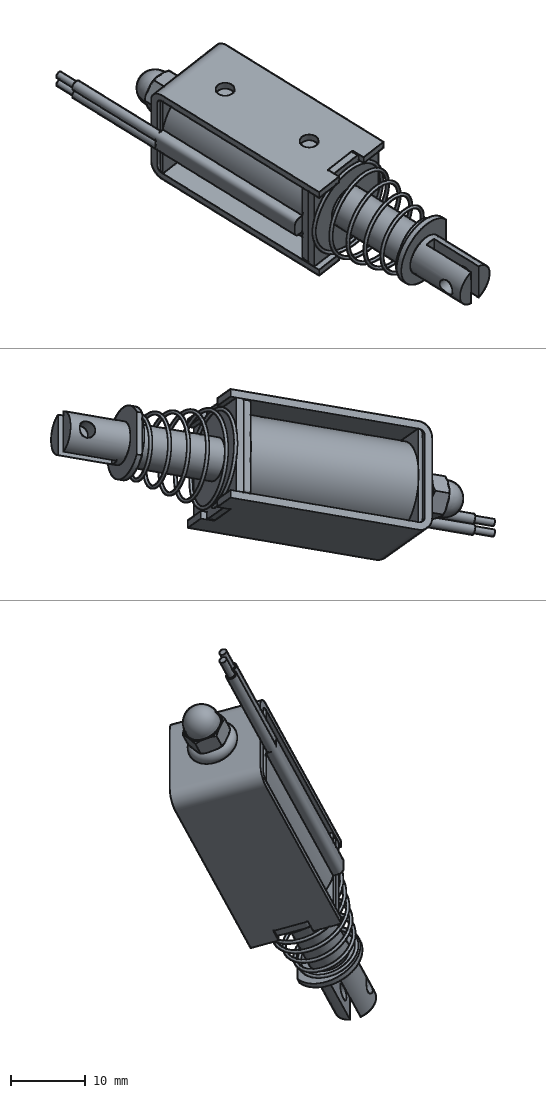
import cadquery as cq
import math


frame_length = 30.0
frame_width = 13.0
frame_height = 15.5
sheet = 1.1
bend_radius = 2.05
inner_bend_radius = 0.95
mount_hole_diameter = 2.5
mount_hole_places = (7.5, 22.5)

back_flange_thickness = 1.0
front_flange_thickness = 1.0
tube_diameter = 8.0
corner_radius = 0.4
lead_diameter = 1.5
core_diameter = 1.0
lead_tip_x = -15.8
insulation_end_x = -12.8

plate_thickness = 1.1
tab_width = 4.95
plate_front_x = 29.15

plunger_diameter = 6.0
plunger_end_x = 52.1
stud_diameter = 3.0
slot_width = 1.5
slot_start_x = 44.2
cross_hole_diameter = 2.3
cross_hole_x = 49.6
groove_diameter = 5.0
groove_width = 1.0
clip_diameter = 10.05
clip_offset = 0.5
clip_flat_y = 4.5
clip_thickness = 0.8
clip_x = 42.2

ring_cord_diameter = 2.0
ring_mean_diameter = 5.0
nut_flats = 5.3
nut_length = 2.45
nut_turn = 7.0
nut_chamfer_diameter = 5.5
nut_chamfer_length = 0.2
dome_diameter = 5.0
dome_neck = 0.6
stud_in_nut = 1.9

spring_wire = 0.5
spring_clearance = 0.015
spring_large_diameter = 14.05
spring_small_diameter = 8.7
closed_turns = 0.75
active_turns = 4.9
points_per_turn = 16

inner_height = frame_height - 2 * sheet
plate_back_x = plate_front_x - plate_thickness
winding_start_x = sheet + back_flange_thickness
winding_end_x = plate_back_x - front_flange_thickness
lead_y = -(frame_width + lead_diameter) / 2
nut_seat_x = -ring_cord_diameter
nut_front_x = nut_seat_x - nut_length
dome_center_x = nut_front_x - dome_neck
stud_tip_x = nut_seat_x - stud_in_nut


def box(x_start, x_end, width, height):
    """Box centred on the X axis, from x_start to x_end."""
    return cq.Workplane("XY").box(x_end - x_start, width, height).translate(((x_start + x_end) / 2, 0, 0))


def rod(x_start, x_end, diameter, y=0, z=0):
    """Cylinder along X, from x_start to x_end."""
    return cq.Workplane("YZ", origin=(x_start, y, z)).circle(diameter / 2).extrude(x_end - x_start)


def make_frame():
    """U-shaped bracket with two mounting holes and a notch for each end plate tab."""
    outer = box(0, frame_length, frame_width, frame_height)
    outer = outer.edges("|Y and <X").fillet(bend_radius)
    inside = box(sheet, frame_length, frame_width, inner_height)
    inside = inside.edges("|Y and <X").fillet(inner_bend_radius)
    tab_notches = box(plate_back_x, frame_length, tab_width, frame_height)
    mount_holes = (
        cq.Workplane("XY")
        .pushPoints([(x, 0) for x in mount_hole_places])
        .circle(mount_hole_diameter / 2)
        .extrude(frame_height)
    )
    return outer.cut(inside).cut(tab_notches).cut(mount_holes).cut(rod(0, sheet, stud_diameter))


def make_bobbin():
    """Two flanges on a tube that guides the plunger."""
    back_flange = box(sheet, winding_start_x, frame_width, inner_height)
    back_flange = back_flange.faces("<X").edges().fillet(inner_bend_radius)
    front_flange = box(winding_end_x, plate_back_x, frame_width, inner_height)
    front_flange = front_flange.edges("|X").fillet(corner_radius)
    tube = rod(sheet, plate_back_x, tube_diameter)
    return back_flange.union(front_flange).union(tube).cut(rod(sheet, plate_back_x, plunger_diameter))


def front_block(front_y, height):
    """Block as long as the coil, from the axis out to front_y on the -Y side."""
    block = box(winding_start_x, winding_end_x, -front_y, height)
    return block.translate((0, front_y / 2, 0))


def make_winding():
    """Coil with the lead holder and the two leads that run out of it."""
    holder_back = front_block(lead_y, 2 * lead_diameter)
    holder_front = front_block(lead_y - lead_diameter / 2, lead_diameter)
    winding = rod(winding_start_x, winding_end_x, inner_height).union(holder_back).union(holder_front)
    for z in (-lead_diameter / 2, lead_diameter / 2):
        insulation = rod(insulation_end_x, winding_end_x, lead_diameter, lead_y, z)
        core = rod(lead_tip_x, insulation_end_x, core_diameter, lead_y, z)
        winding = winding.union(insulation).union(core)
    return winding.cut(rod(winding_start_x, winding_end_x, tube_diameter))


def make_end_plate():
    """Plate that closes the frame, with a tab into each of its notches."""
    plate = box(plate_back_x, plate_front_x, frame_width, inner_height)
    tabs = box(plate_back_x, plate_front_x, tab_width, frame_height).edges("|X").fillet(corner_radius)
    return plate.union(tabs).cut(rod(plate_back_x, plate_front_x, plunger_diameter))


def make_plunger():
    """Plunger with a stud at the back, a clip groove and a slotted, cross-drilled end."""
    plunger = rod(sheet, plunger_end_x, plunger_diameter).union(rod(stud_tip_x, sheet, stud_diameter))
    groove_end_x = clip_x + groove_width
    groove = rod(clip_x, groove_end_x, plunger_diameter).cut(rod(clip_x, groove_end_x, groove_diameter))
    slot = box(slot_start_x, plunger_end_x, slot_width, plunger_diameter)
    cross_hole = (
        cq.Workplane("XZ", origin=(cross_hole_x, 0, 0))
        .circle(cross_hole_diameter / 2)
        .extrude(plunger_diameter / 2, both=True)
    )
    return plunger.cut(groove).cut(slot).cut(cross_hole)


def make_clip():
    """Off-centre disc with a flat on its +Y side, seated in the plunger groove."""
    clip_end_x = clip_x + clip_thickness
    disc = rod(clip_x, clip_end_x, clip_diameter, y=clip_offset)
    beyond_flat = box(clip_x, clip_end_x, clip_diameter, clip_diameter)
    disc = disc.cut(beyond_flat.translate((0, clip_flat_y + clip_diameter / 2, 0)))
    return disc.cut(rod(clip_x, clip_end_x, groove_diameter))


def make_ring():
    """Round-section ring between the nut and the frame."""
    center_x = -ring_cord_diameter / 2
    return (
        cq.Workplane("XY")
        .center(center_x, ring_mean_diameter / 2)
        .circle(ring_cord_diameter / 2)
        .revolve(360, (0, -ring_mean_diameter / 2), (1, -ring_mean_diameter / 2))
    )


def make_nut():
    """Hexagon cap nut with a hemispherical dome and chamfered corners."""
    corners = nut_flats / math.cos(math.pi / 6)
    hexagon = cq.Workplane("YZ", origin=(nut_front_x, 0, 0)).polygon(6, corners).extrude(nut_length)
    hexagon = hexagon.rotate((0, 0, 0), (1, 0, 0), -nut_turn)
    blank = rod(nut_front_x, nut_seat_x, corners)
    blank = blank.faces("<X or >X").chamfer(nut_chamfer_length, (corners - nut_chamfer_diameter) / 2)
    dome = cq.Workplane("XY").sphere(dome_diameter / 2).translate((dome_center_x, 0, 0))
    neck = rod(dome_center_x, nut_front_x, dome_diameter)
    nut = hexagon.intersect(blank).union(neck).union(dome)
    return nut.cut(rod(stud_tip_x, nut_seat_x, stud_diameter))


def make_spring():
    """Right-handed conical spring with a closed part turn at each end."""
    start_x = plate_front_x + spring_wire / 2 + spring_clearance
    end_x = clip_x - spring_wire / 2 - spring_clearance
    large_radius = (spring_large_diameter - spring_wire) / 2
    small_radius = (spring_small_diameter - spring_wire) / 2
    total_turns = active_turns + 2 * closed_turns

    def path_angle(turn):
        return 2 * math.pi * (turn - closed_turns) + math.pi

    def path_point(turn):
        rise = min(max((turn - closed_turns) / active_turns, 0), 1)
        radius = large_radius + rise * (small_radius - large_radius)
        angle = path_angle(turn)
        return (start_x + rise * (end_x - start_x), radius * math.cos(angle), radius * math.sin(angle))

    steps = round(total_turns * points_per_turn)
    points = [path_point(total_turns * i / steps) for i in range(steps + 1)]
    path = cq.Workplane("XY").spline(points)
    start_angle = path_angle(0)
    start_direction = (0, -math.sin(start_angle), math.cos(start_angle))
    start_plane = cq.Plane(origin=points[0], xDir=(1, 0, 0), normal=start_direction)
    return cq.Workplane(start_plane).circle(spring_wire / 2).sweep(path, isFrenet=True)


frame = make_frame()
bobbin = make_bobbin()
winding = make_winding()
end_plate = make_end_plate()
plunger = make_plunger()
clip = make_clip()
ring = make_ring()
nut = make_nut()
spring = make_spring()

bodies = [frame, bobbin, winding, end_plate, plunger, clip, ring, nut, spring]
result = cq.Compound.makeCompound([body.solids().val() for body in bodies])